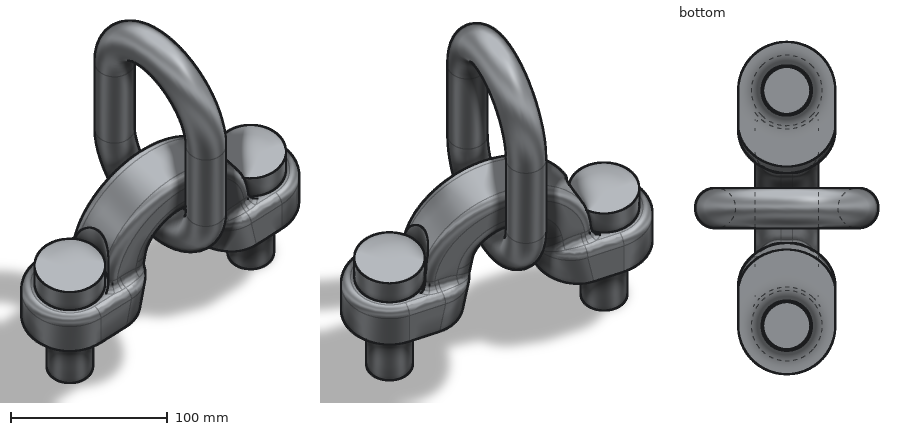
import cadquery as cq
import math

foot_bottom_z = 50.0
foot_height = 30.0
foot_top_z = foot_bottom_z + foot_height
head_height = 17.5
overall_height = 258.8

bracket_length = 212.0
foot_radius = 31.0
foot_end_depth = 27.5
foot_edge_radius = 6.2
lean_angle = 10.0
lean_slope = math.tan(math.radians(lean_angle))

bolt_offset = bracket_length / 2 - foot_radius
shank_diameter = 30.0
shank_hole_diameter = 32.0
head_diameter = 45.0
head_clearance_radius = 24.5

arch_width = 40.6
arch_outer_radius = 59.8
arch_inner_radius = 20.2
arch_inner_center_z = 83.5
arch_outer_edge_radius = 7.0
arch_inner_edge_radius = 16.5
leg_root_radius = 6.0

ring_width = 117.0
ring_height = 181.7
wire_radius = 13.0
ring_bend_radius = ring_width / 2 - wire_radius


def inner_end_y(z):
    """Y of the leaning inner end of the +Y leg and foot, tangent to the arch's inner arc."""
    angle = math.radians(lean_angle)
    return arch_inner_radius / math.cos(angle) + (arch_inner_center_z - z) * lean_slope


def foot_outline(z):
    """Stadium outline of the +Y foot at height z: round at the bolt, leaning at the inner end."""
    inner_side_y = inner_end_y(z) + foot_end_depth
    return (
        cq.Workplane("XY", origin=(0, 0, z))
        .moveTo(foot_radius, bolt_offset)
        .threePointArc((0, bolt_offset + foot_radius), (-foot_radius, bolt_offset))
        .lineTo(-foot_radius, inner_side_y)
        .ellipseArc(foot_radius, foot_end_depth, 180, 360)
        .close()
        .val()
    )


def make_foot():
    """The +Y foot with its rounded top edge."""
    outlines = [foot_outline(foot_bottom_z), foot_outline(foot_top_z)]
    foot = cq.Workplane(cq.Solid.makeLoft(outlines, True))
    return foot.faces(">Z").edges().fillet(foot_edge_radius)


def arch_profile(leg_end_z):
    """Solid arch with square edges; its leaning inner legs end at leg_end_z."""
    angle = math.radians(lean_angle)
    tangent_y = arch_inner_radius * math.cos(angle)
    tangent_z = arch_inner_center_z + arch_inner_radius * math.sin(angle)
    leg_inner_y = inner_end_y(leg_end_z)
    return (
        cq.Workplane("YZ")
        .moveTo(arch_outer_radius, leg_end_z)
        .lineTo(arch_outer_radius, foot_top_z)
        .threePointArc((0, foot_top_z + arch_outer_radius), (-arch_outer_radius, foot_top_z))
        .lineTo(-arch_outer_radius, leg_end_z)
        .lineTo(-leg_inner_y, leg_end_z)
        .lineTo(-tangent_y, tangent_z)
        .threePointArc((0, arch_inner_center_z + arch_inner_radius), (tangent_y, tangent_z))
        .lineTo(leg_inner_y, leg_end_z)
        .close()
        .extrude(arch_width / 2, both=True)
    )


def make_arch():
    """Arch with a small rounding along its outer edges and a large one along its inner edges."""
    arch = arch_profile(foot_top_z - foot_edge_radius)
    inner_arcs = arch.faces("<X or >X").edges("%CIRCLE").edges(cq.selectors.RadiusNthSelector(0))
    arch = inner_arcs.fillet(arch_inner_edge_radius)
    outer_arcs = arch.edges("%CIRCLE").edges(cq.selectors.RadiusNthSelector(-1))
    return outer_arcs.fillet(arch_outer_edge_radius)


def blend_legs(bracket):
    """Concave blend around the root of each leg, on the flat top of the feet."""
    half_width = arch_width / 2
    margin = 0.3
    root_region = cq.selectors.BoxSelector(
        (-half_width - margin, -arch_outer_radius, foot_top_z - margin),
        (half_width + margin, arch_outer_radius, foot_top_z + margin),
    )
    return bracket.edges(root_region).edges("|Y").fillet(leg_root_radius)


def at_bolts(shape):
    """Copies of a shape drawn on the Z axis, one at each bolt axis."""
    return [shape.translate((0, side * bolt_offset, 0)) for side in (1, -1)]


def make_bracket():
    foot = make_foot()
    bracket = make_arch().union(foot).union(foot.mirror("XZ"))
    bracket = blend_legs(bracket)

    head_clearance = (
        cq.Workplane("XY", origin=(0, 0, foot_top_z))
        .circle(head_clearance_radius)
        .extrude(arch_outer_radius)
    )
    shank_hole = (
        cq.Workplane("XY", origin=(0, 0, foot_bottom_z))
        .circle(shank_hole_diameter / 2)
        .extrude(foot_height)
    )
    for cutter in at_bolts(head_clearance) + at_bolts(shank_hole):
        bracket = bracket.cut(cutter)
    return bracket


def make_bolt():
    """Plain round bolt on the Z axis, its head resting on the foot."""
    shank = cq.Workplane("XY").circle(shank_diameter / 2).extrude(foot_top_z)
    head = (
        cq.Workplane("XY", origin=(0, 0, foot_top_z))
        .circle(head_diameter / 2)
        .extrude(head_height)
    )
    return shank.union(head)


def make_ring():
    """Oblong ring of round wire hanging through the arch."""
    upper_center_z = overall_height - ring_width / 2
    lower_center_z = overall_height - ring_height + ring_width / 2
    path = (
        cq.Workplane("XZ")
        .moveTo(ring_bend_radius, lower_center_z)
        .lineTo(ring_bend_radius, upper_center_z)
        .threePointArc((0, upper_center_z + ring_bend_radius), (-ring_bend_radius, upper_center_z))
        .lineTo(-ring_bend_radius, lower_center_z)
        .threePointArc((0, lower_center_z - ring_bend_radius), (ring_bend_radius, lower_center_z))
        .close()
    )
    return (
        cq.Workplane("XY", origin=(ring_bend_radius, 0, lower_center_z))
        .circle(wire_radius)
        .sweep(path)
    )


bracket = make_bracket()
bolts = at_bolts(make_bolt())
ring = make_ring()

result = cq.Compound.makeCompound(
    [bracket.val(), ring.val(), *[bolt.val() for bolt in bolts]]
)